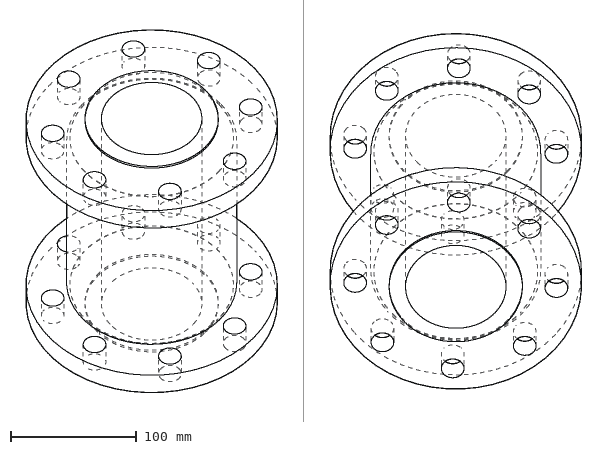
import cadquery as cq

total_length = 212.0
bore_diameter = 80.0

flange_diameter = 200.0
flange_thickness = 20.0
raised_face_diameter = 106.0
raised_face_height = 2.0

bolt_count = 8
bolt_hole_diameter = 18.0
bolt_circle_diameter = 160.0
bolt_pitch_angle = 360 / bolt_count
first_bolt_angle = bolt_pitch_angle / 2

body_diameter = 135.3
body_edge_radius = 2.5
flange_spacing = total_length - 2 * (raised_face_height + flange_thickness)

groove_width = 0.5
neck_diameter = body_diameter - 2 * body_edge_radius
body_length = flange_spacing - 2 * groove_width


def cylinder(diameter, length):
    """Cylinder on the Z axis, centred on the origin."""
    return cq.Workplane("XY").circle(diameter / 2).extrude(length / 2, both=True)


def flange():
    """Upper flange: drilled disc with a raised sealing face on top."""
    disc = (
        cq.Workplane("XY")
        .workplane(offset=flange_spacing / 2)
        .circle(flange_diameter / 2)
        .extrude(flange_thickness)
    )
    bolt_holes = (
        cq.Workplane("XY")
        .workplane(offset=flange_spacing / 2)
        .polarArray(bolt_circle_diameter / 2, first_bolt_angle, 360, bolt_count, rotate=False)
        .circle(bolt_hole_diameter / 2)
        .extrude(flange_thickness)
    )
    raised_face = (
        cq.Workplane("XY")
        .workplane(offset=flange_spacing / 2 + flange_thickness)
        .circle(raised_face_diameter / 2)
        .extrude(raised_face_height)
    )
    return disc.cut(bolt_holes).union(raised_face)


body = cylinder(body_diameter, body_length).edges("%CIRCLE").fillet(body_edge_radius)
neck = cylinder(neck_diameter, flange_spacing)
upper_flange = flange()
lower_flange = upper_flange.mirror("XY")
bore = cylinder(bore_diameter, total_length)

result = body.union(neck).union(upper_flange).union(lower_flange).cut(bore)